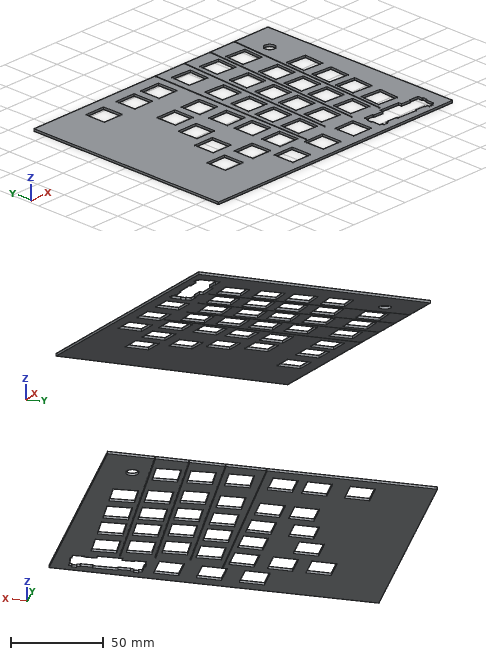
import cadquery as cq
import math

PLATE_LENGTH = 183.1
PLATE_WIDTH = 138.0
PLATE_THICKNESS = 1.5

KEY_PITCH = 19.0
KEY_OPENING = 14.0

WIDE_ROW_STEP = 20.5
ROW_DISTANCES = (0, WIDE_ROW_STEP, WIDE_ROW_STEP + KEY_PITCH, 2 * WIDE_ROW_STEP + KEY_PITCH)

REFERENCE_COLUMN_X = -9.2
LOWEST_ROW_Y = -36.0
FUNCTION_ROW_Y = 54.4
UPRIGHT_ROW_OFFSETS = ((-2.25, -1.125, 0), (-1.625, 0), (-1.25, 0), (-1, 0))
FUNCTION_ROW_OFFSETS = (-2.25, -1, 0)

THUMB_ROW_CENTRE = (4.4, -55.3)
THUMB_ROW_OFFSETS = (-1.25, 0, 1.25)

LEANING_COLUMNS = (
    (10.3, -32.0, 3.0, 26.2),
    (29.7, -30.8, 4.0, 23.8),
    (48.5, -34.6, 4.0, 26.4),
    (67.4, -37.4, 4.0, None),
)

SLIT_WIDTH = 0.5
FIRST_SLIT_X = 0.2
SLITS = ((-46.9, 1.5), (-42.5, 3.5), (-44.5, 4.0), (-47.0, 3.9))

HOLE_DIAMETER = 7.0
HOLE_CENTRE = (73.5, 50.4)

WIDE_KEY_CENTRE = (61.9, -56.8)
WIDE_KEY_LEAN = 2.3
CHANNEL_TOP = 4.8
CHANNEL_BOTTOM = -6.0
POCKET_OFFSET = 17.0
POCKET_WIDTH = 6.5
POCKET_TOP = 5.5
POCKET_BOTTOM = -6.6
FOOT_WIDTH = 2.7
FOOT_BOTTOM = -7.9
SIDE_NOTCH_DEPTH = 0.71
SIDE_NOTCH_TOP = 2.4
SIDE_NOTCH_BOTTOM = -0.5


def box_cutter(left, right, bottom, top):
    """Block through the whole plate thickness, between the given sides."""
    return cq.Workplane("XY").box(
        right - left, top - bottom, PLATE_THICKNESS, centered=False
    ).translate((left, bottom, -PLATE_THICKNESS / 2))


def place(cutter, x, y, lean=0.0):
    """Turn a cutter clockwise about its own origin, then move that origin to (x, y)."""
    return cutter.rotate((0, 0, 0), (0, 0, 1), -lean).translate((x, y, 0))


def key_cutter():
    half = KEY_OPENING / 2
    return box_cutter(-half, half, -half, half)


def key_row_cutters(x, y, offsets):
    """Upright keys at one height, offset from x by the given numbers of key pitches."""
    return [place(key_cutter(), x + offset * KEY_PITCH, y) for offset in offsets]


def upright_key_cutters():
    cutters = []
    for distance, offsets in zip(ROW_DISTANCES, UPRIGHT_ROW_OFFSETS):
        cutters += key_row_cutters(REFERENCE_COLUMN_X, LOWEST_ROW_Y + distance, offsets)
    cutters += key_row_cutters(REFERENCE_COLUMN_X, FUNCTION_ROW_Y, FUNCTION_ROW_OFFSETS)
    cutters += key_row_cutters(*THUMB_ROW_CENTRE, THUMB_ROW_OFFSETS)
    return cutters


def leaning_key_cutters():
    cutters = []
    for x, y, lean, function_step in LEANING_COLUMNS:
        distances = list(ROW_DISTANCES)
        if function_step is not None:
            distances.append(distances[-1] + function_step)
        for distance in distances:
            key_x = x + distance * math.sin(math.radians(lean))
            key_y = y + distance * math.cos(math.radians(lean))
            cutters.append(place(key_cutter(), key_x, key_y, lean))
    return cutters


def slit_cutters():
    cutters = []
    for index, (end_y, lean) in enumerate(SLITS):
        slit = box_cutter(-SLIT_WIDTH / 2, SLIT_WIDTH / 2, 0, PLATE_WIDTH)
        cutters.append(place(slit, FIRST_SLIT_X + index * KEY_PITCH, end_y, lean))
    return cutters


def wide_key_cutter():
    cutter = key_cutter().union(
        box_cutter(-POCKET_OFFSET, POCKET_OFFSET, CHANNEL_BOTTOM, CHANNEL_TOP)
    )
    pocket_end = POCKET_OFFSET + POCKET_WIDTH / 2
    pocket = box_cutter(pocket_end - POCKET_WIDTH, pocket_end, POCKET_BOTTOM, POCKET_TOP)
    foot = box_cutter(
        POCKET_OFFSET - FOOT_WIDTH / 2, POCKET_OFFSET + FOOT_WIDTH / 2, FOOT_BOTTOM, 0
    )
    side_notch = box_cutter(
        POCKET_OFFSET, pocket_end + SIDE_NOTCH_DEPTH, SIDE_NOTCH_BOTTOM, SIDE_NOTCH_TOP
    )
    right_side = pocket.union(foot).union(side_notch)
    cutter = cutter.union(right_side).union(right_side.mirror("YZ"))
    return place(cutter, *WIDE_KEY_CENTRE, WIDE_KEY_LEAN)


plate = cq.Workplane("XY").box(PLATE_LENGTH, PLATE_WIDTH, PLATE_THICKNESS)
plate = plate.faces(">Z").workplane().pushPoints([HOLE_CENTRE]).hole(HOLE_DIAMETER)

for opening in upright_key_cutters() + leaning_key_cutters() + slit_cutters():
    plate = plate.cut(opening)

result = plate.cut(wide_key_cutter())